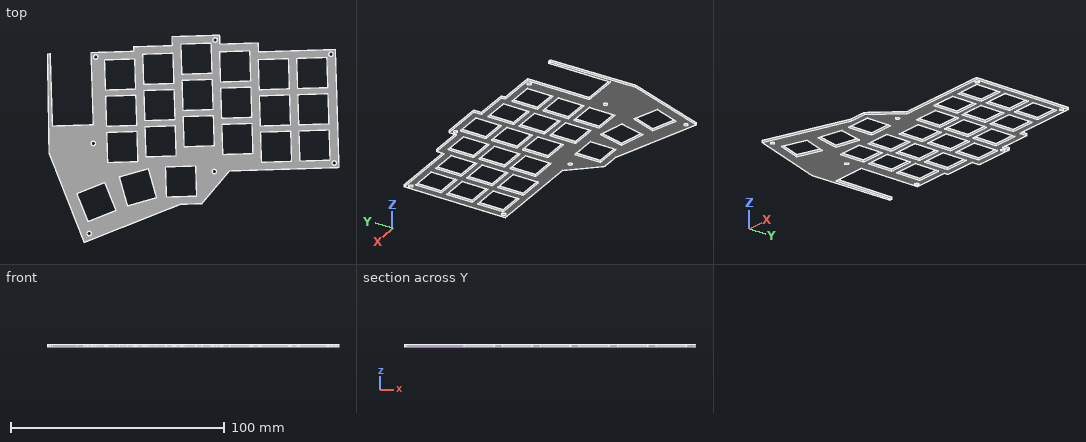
import cadquery as cq

THICKNESS = 1.2
PLATE_ANGLE = 1.777

COLUMN_PITCH = 18.0
ROW_PITCH = 17.0
ROW_COUNT = 3
CUTOUT_SIZE = 14.0
STAGGER = 2.1
COLUMN_SHIFTS = [0, STAGGER, 3 * STAGGER, STAGGER, -STAGGER, -STAGGER]

THUMB_Y = -ROW_PITCH
THUMB_KEYS = [
    (1.5 * COLUMN_PITCH, THUMB_Y, 0),
    (6.725, -19.09, 14),
    (-12.925, -25.38, 20),
]

MARGIN = 2.23
LEFT_BORDER = 2.12

BAY_FLOOR = 10.915
ARM_TIP_LEFT = -33.75
ARM_INNER = -32.33

LEFT_CORNER = (-34.47, -1.71)
THUMB_CORNER = (-19.25, -44.2)
THUMB_EDGE_START = 26.33
THUMB_EDGE_END = 36.38
LOWER_EDGE_START = 49.81

HOLE_DIAMETER = 2.0
BAY_HOLE = (-13.52, 2.13)
INNER_HOLE = (42.73, -12.815)
THUMB_HOLE = (-16.76, -40.02)


def column_left(column):
    """Left side of a column's key cells."""
    return (column - 0.5) * COLUMN_PITCH


def column_right(column):
    """Right side of a column's key cells."""
    return (column + 0.5) * COLUMN_PITCH


def column_top(column):
    """Upper side of a column's top key cell."""
    return COLUMN_SHIFTS[column] + (ROW_COUNT - 0.5) * ROW_PITCH


def column_bottom(column):
    """Lower side of a column's bottom key cell."""
    return COLUMN_SHIFTS[column] - 0.5 * ROW_PITCH


TALLEST = COLUMN_SHIFTS.index(max(COLUMN_SHIFTS))
LAST = len(COLUMN_SHIFTS) - 1
CELL_LEFT = column_left(0) - LEFT_BORDER


def top_steps():
    """Corners of the stepped upper edge, from left to right."""
    points = [(CELL_LEFT - MARGIN, column_top(0) + MARGIN)]
    for column in range(LAST):
        here = column_top(column) + MARGIN
        following = column_top(column + 1) + MARGIN
        if here == following:
            continue
        if column < TALLEST:
            step_x = column_left(column + 1) - MARGIN
        else:
            step_x = column_right(column) + MARGIN
        points += [(step_x, here), (step_x, following)]
    points.append((column_right(LAST) + MARGIN, column_top(LAST) + MARGIN))
    return points


def blank_plate():
    """Plate outline without any openings."""
    lower_edge = column_bottom(LAST) - MARGIN
    thumb_edge = THUMB_Y - ROW_PITCH / 2 - MARGIN
    arm_top = column_top(0) + MARGIN
    outline = top_steps() + [
        (column_right(LAST) + MARGIN, lower_edge),
        (LOWER_EDGE_START, lower_edge),
        (THUMB_EDGE_END, thumb_edge),
        (THUMB_EDGE_START, thumb_edge),
        THUMB_CORNER,
        LEFT_CORNER,
        (ARM_TIP_LEFT, arm_top),
        (ARM_INNER, arm_top),
        (ARM_INNER, BAY_FLOOR),
        (CELL_LEFT - MARGIN, BAY_FLOOR),
    ]
    return cq.Workplane("XY").polyline(outline).close().extrude(THICKNESS)


def cut_finger_keys(plate):
    """Square openings of the staggered columns."""
    centres = [
        (column * COLUMN_PITCH, shift + row * ROW_PITCH)
        for column, shift in enumerate(COLUMN_SHIFTS)
        for row in range(ROW_COUNT)
    ]
    keys = cq.Workplane("XY").pushPoints(centres).rect(CUTOUT_SIZE, CUTOUT_SIZE)
    return plate.cut(keys.extrude(THICKNESS))


def cut_thumb_keys(plate):
    """Square openings of the fanned thumb keys."""
    for x, y, angle in THUMB_KEYS:
        key = cq.Workplane("XY").rect(CUTOUT_SIZE, CUTOUT_SIZE).extrude(THICKNESS)
        key = key.rotate((0, 0, 0), (0, 0, 1), angle).translate((x, y, 0))
        plate = plate.cut(key)
    return plate


def cut_screw_holes(plate):
    """Round through holes; most sit at the corners of key cells."""
    centres = [
        (CELL_LEFT, column_top(0)),
        (column_right(TALLEST), column_top(TALLEST)),
        (column_right(LAST), column_top(LAST)),
        (column_right(LAST), column_bottom(LAST)),
        BAY_HOLE,
        INNER_HOLE,
        THUMB_HOLE,
    ]
    holes = cq.Workplane("XY").pushPoints(centres).circle(HOLE_DIAMETER / 2)
    return plate.cut(holes.extrude(THICKNESS))


plate = blank_plate()
plate = cut_finger_keys(plate)
plate = cut_thumb_keys(plate)
plate = cut_screw_holes(plate)
result = plate.rotate((0, 0, 0), (0, 0, 1), PLATE_ANGLE)